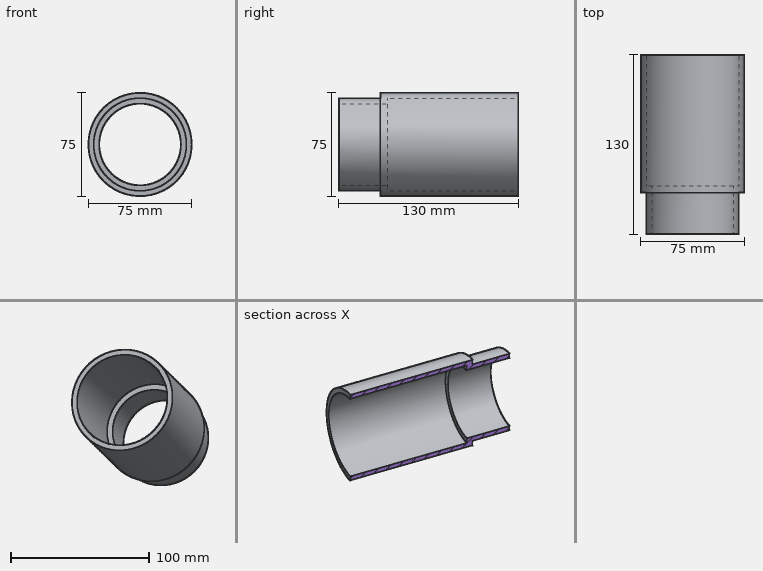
import cadquery as cq

total_length = 130.0
spigot_length = 30.0
body_diameter = 75.0
spigot_diameter = 67.2
bore_diameter = 59.0
socket_diameter = spigot_diameter
socket_depth = 95.0


def cylinder_along_y(diameter, start, end):
    """Solid cylinder centred on the Y axis, from start to end."""
    base = cq.Workplane("XZ", origin=(0, start, 0))
    return base.circle(diameter / 2).extrude(start - end)


spigot = cylinder_along_y(spigot_diameter, 0, total_length)
body = cylinder_along_y(body_diameter, spigot_length, total_length)

bore = cylinder_along_y(bore_diameter, 0, total_length)
socket = cylinder_along_y(socket_diameter, total_length - socket_depth, total_length)

result = spigot.union(body).cut(bore).cut(socket)